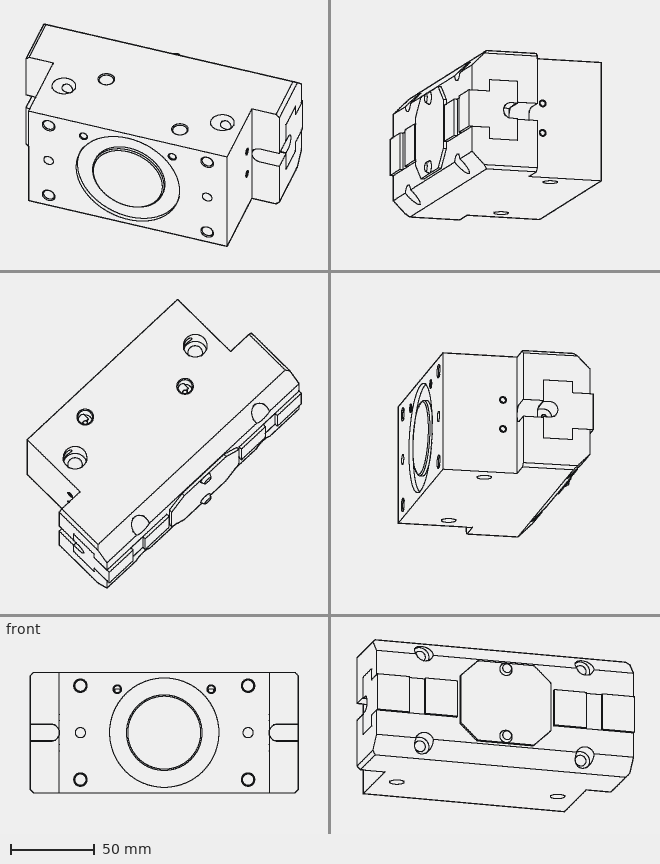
import cadquery as cq
import math

LENGTH = 160.0
HEIGHT = 72.0
FOOT_LENGTH = 125.3
SHOULDER_Y = 45.3
REAR_Y = 86.0
REAR_BEVEL = 9.8
END_BEVEL = 2.0

COVER_THICKNESS = 2.0
COVER_LENGTH = 56.0
COVER_HEIGHT = 49.6
COVER_CORNER_X = 10.5
COVER_CORNER_Z = 10.0
SCREW_HEAD_RADIUS = 3.8
SCREW_HEAD_HEIGHT = 2.2
SCREW_HEAD_TAPER = 1.1
SCREW_Z = 21.0

JAW_OUTER_Y = REAR_Y + COVER_THICKNESS
JAW_INNER_X = 30.0
NECK_HEIGHT = 22.0
FLANGE_HEIGHT = 35.8
FLANGE_FRONT_Y = 57.6
FLANGE_REAR_Y = 75.2
KEYWAY_WIDTH = 10.0
KEYWAY_X = 55.0
KEYWAY_DEPTH = COVER_THICKNESS

SLOT_END_X = FOOT_LENGTH / 2
SLOT_WIDTH = 10.4
JAW_SLOT_WIDTH = 9.5
SLOT_BOTTOM_CENTRE_Y = 61.6
JAW_PIN_RADIUS = 1.25
JAW_PIN_MOUTH_RADIUS = 1.5
JAW_PIN_DEPTH = 4.8

DRILL_POINT_ANGLE = 118.0
BOLT_SPACING_X = 100.0
BOLT_X = BOLT_SPACING_X / 2
BOLT_Z = 28.0
BOLT_RADIUS = 3.4
BOLT_MOUTH_RADIUS = 4.0
BOLT_HEAD_RADIUS = 5.6
BOLT_HEAD_SEAT_Y = 76.0
DOWEL_RADIUS = 3.0
DOWEL_DEPTH = 12.0
CROSS_BOLT_Y = 28.0
CROSS_BOLT_RADIUS = 4.3
CROSS_HEAD_RADIUS = 7.0
CROSS_HEAD_DEPTH = 14.4

RECESS_RADIUS = 32.6
RECESS_DEPTH = 2.5
BOSS_RADIUS = 22.5
BOSS_CHAMFER = 0.8

PORTS = [(-28.0, 42.0), (28.0, 14.0)]
PORT_RADIUS = 4.3
PORT_MOUTH_RADIUS = 5.0
PORT_BORE_Z = 26.0
PORT_BORE_RADIUS = 2.7
PORT_ENTRY_RADIUS = 2.0
PORT_ENTRY_MOUTH_RADIUS = 2.5
PORT_ENTRY_DEPTH = 8.0
PORT_FEED_RADIUS = 1.52
PORT_FEED_DEPTH = 3.2

SIDE_HOLE_Y = 36.6
SIDE_HOLE_Z = 9.0
SIDE_HOLE_RADIUS = 1.6
SIDE_HOLE_MOUTH_RADIUS = 2.0
SIDE_HOLE_DEPTH = 8.0


def box(x0, x1, y0, y1, z0, z1):
    """Box between opposite corners."""
    return cq.Workplane("XY").box(x1 - x0, y1 - y0, z1 - z0, centered=False).translate((x0, y0, z0))


def rod(start, direction, radius, length):
    """Plain cylinder from a start point along a unit direction."""
    return cq.Workplane(cq.Solid.makeCylinder(radius, length, cq.Vector(*start), cq.Vector(*direction)))


def cone(start, direction, start_radius, end_radius, length):
    """Cone or cone frustum from a start point along a unit direction."""
    return cq.Workplane(
        cq.Solid.makeCone(start_radius, end_radius, length, cq.Vector(*start), cq.Vector(*direction))
    )


def mouth(start, direction, mouth_radius, radius):
    """45 degree countersink at the mouth of a hole."""
    return cone(start, direction, mouth_radius, radius, mouth_radius - radius)


def blind_hole(start, direction, radius, depth):
    """Drilled hole of the given full-diameter depth with a pointed bottom."""
    bottom = cq.Vector(*start) + cq.Vector(*direction) * depth
    point_depth = radius / math.tan(math.radians(DRILL_POINT_ANGLE / 2))
    return rod(start, direction, radius, depth).union(
        cone(bottom.toTuple(), direction, radius, 0, point_depth)
    )


def housing_block():
    """Narrow front block and wide rear block, with bevelled edges."""
    foot = box(-FOOT_LENGTH / 2, FOOT_LENGTH / 2, 0, REAR_Y, -HEIGHT / 2, HEIGHT / 2)
    head = box(-LENGTH / 2, LENGTH / 2, SHOULDER_Y, REAR_Y, -HEIGHT / 2, HEIGHT / 2)
    head = head.edges("|Y").chamfer(END_BEVEL)
    block = foot.union(head)
    profile = (
        cq.Workplane("YZ")
        .rect(2 * REAR_Y, HEIGHT)
        .extrude(LENGTH / 2, both=True)
        .edges("|X and >Y")
        .chamfer(REAR_BEVEL)
    )
    return block.intersect(profile)


def cover_with_screws():
    """Eight-sided cover plate with two tapered screw heads."""
    x, z = COVER_LENGTH / 2, COVER_HEIGHT / 2
    x_in, z_in = x - COVER_CORNER_X, z - COVER_CORNER_Z
    upper = [(x, z_in), (x_in, z), (-x_in, z), (-x, z_in)]
    lower = [(-px, -pz) for px, pz in upper]
    outline = upper + lower
    cover = cq.Workplane("XZ", origin=(0, REAR_Y, 0)).polyline(outline).close().extrude(-COVER_THICKNESS)
    top_radius = SCREW_HEAD_RADIUS - SCREW_HEAD_TAPER
    for side in (-1, 1):
        base = (0, JAW_OUTER_Y, side * SCREW_Z)
        cover = cover.union(cone(base, (0, 1, 0), SCREW_HEAD_RADIUS, top_radius, SCREW_HEAD_HEIGHT))
    return cover


def jaw_bar(side):
    """T-shaped bar that fills the guide on one side (-1 or 1) of the centre."""
    x0, x1 = sorted((side * JAW_INNER_X, side * LENGTH / 2))
    neck = box(x0, x1, FLANGE_FRONT_Y, JAW_OUTER_Y, -NECK_HEIGHT / 2, NECK_HEIGHT / 2)
    flange = box(x0, x1, FLANGE_FRONT_Y, FLANGE_REAR_Y, -FLANGE_HEIGHT / 2, FLANGE_HEIGHT / 2)
    return neck.union(flange)


def housing_slot(side):
    """Slot from the shoulder to the jaw, open at the end and round at its inner end."""
    radius = SLOT_WIDTH / 2
    centre_x = side * (SLOT_END_X + radius)
    depth = FLANGE_FRONT_Y - SHOULDER_Y
    x0, x1 = sorted((centre_x, side * LENGTH / 2))
    straight = box(x0, x1, SHOULDER_Y, FLANGE_FRONT_Y, -radius, radius)
    return straight.union(rod((centre_x, SHOULDER_Y, 0), (0, 1, 0), radius, depth))


def jaw_slot(side):
    """Round-bottomed channel in the jaw, with a small blind hole in its end wall."""
    radius = JAW_SLOT_WIDTH / 2
    x0, x1 = sorted((side * SLOT_END_X, side * LENGTH / 2))
    straight = box(x0, x1, FLANGE_FRONT_Y, SLOT_BOTTOM_CENTRE_Y, -radius, radius)
    bottom = rod((x0, SLOT_BOTTOM_CENTRE_Y, 0), (1, 0, 0), radius, x1 - x0)
    end_wall = (side * SLOT_END_X, SLOT_BOTTOM_CENTRE_Y, 0)
    inward = (-side, 0, 0)
    pin_hole = blind_hole(end_wall, inward, JAW_PIN_RADIUS, JAW_PIN_DEPTH)
    pin_hole = pin_hole.union(mouth(end_wall, inward, JAW_PIN_MOUTH_RADIUS, JAW_PIN_RADIUS))
    return straight.union(bottom).union(pin_hole)


def mounting_holes(side):
    """Front bolts, front dowel hole and cross bolt on one side of the centre."""
    x = side * BOLT_X
    tools = blind_hole((x, 0, 0), (0, 1, 0), DOWEL_RADIUS, DOWEL_DEPTH)
    for z in (-BOLT_Z, BOLT_Z):
        tools = tools.union(rod((x, 0, z), (0, 1, 0), BOLT_RADIUS, REAR_Y))
        tools = tools.union(mouth((x, 0, z), (0, 1, 0), BOLT_MOUTH_RADIUS, BOLT_RADIUS))
        tools = tools.union(
            rod((x, BOLT_HEAD_SEAT_Y, z), (0, 1, 0), BOLT_HEAD_RADIUS, REAR_Y - BOLT_HEAD_SEAT_Y)
        )
    top = (x, CROSS_BOLT_Y, HEIGHT / 2)
    tools = tools.union(rod(top, (0, 0, -1), CROSS_BOLT_RADIUS, HEIGHT))
    return tools.union(rod(top, (0, 0, -1), CROSS_HEAD_RADIUS, CROSS_HEAD_DEPTH))


def boss_recess():
    """Ring-shaped recess that leaves a chamfered round boss level with the front face."""
    recess = rod((0, 0, 0), (0, 1, 0), RECESS_RADIUS, RECESS_DEPTH)
    boss = rod((0, 0, 0), (0, 1, 0), BOSS_RADIUS, RECESS_DEPTH).faces("<Y").chamfer(BOSS_CHAMFER)
    return recess.cut(boss)


def air_port(x, y):
    """Top port, the front bore that ends below it, and the feed hole on the port axis."""
    top = (x, y, HEIGHT / 2)
    port = rod(top, (0, 0, -1), PORT_RADIUS, HEIGHT / 2 - PORT_BORE_Z)
    port = port.union(mouth(top, (0, 0, -1), PORT_MOUTH_RADIUS, PORT_RADIUS))
    front = (x, 0, PORT_BORE_Z)
    entry = rod(front, (0, 1, 0), PORT_ENTRY_RADIUS, PORT_ENTRY_DEPTH)
    entry = entry.union(mouth(front, (0, 1, 0), PORT_ENTRY_MOUTH_RADIUS, PORT_ENTRY_RADIUS))
    bore = rod((x, PORT_ENTRY_DEPTH, PORT_BORE_Z), (0, 1, 0), PORT_BORE_RADIUS, y - PORT_ENTRY_DEPTH)
    feed = blind_hole((x, y, PORT_BORE_Z), (0, 0, -1), PORT_FEED_RADIUS, PORT_FEED_DEPTH)
    return port.union(entry).union(bore).union(feed)


def side_hole(side, z):
    """Countersunk blind hole in one end of the front block."""
    start = (side * FOOT_LENGTH / 2, SIDE_HOLE_Y, z)
    inward = (-side, 0, 0)
    hole = blind_hole(start, inward, SIDE_HOLE_RADIUS, SIDE_HOLE_DEPTH)
    return hole.union(mouth(start, inward, SIDE_HOLE_MOUTH_RADIUS, SIDE_HOLE_RADIUS))


def make_housing():
    """Housing with all its recesses and holes, closed by the cover plate."""
    housing = housing_block().cut(boss_recess())
    for x, y in PORTS:
        housing = housing.cut(air_port(x, y))
    for side in (-1, 1):
        housing = housing.cut(jaw_bar(side)).cut(housing_slot(side)).cut(mounting_holes(side))
        for z in (-SIDE_HOLE_Z, SIDE_HOLE_Z):
            housing = housing.cut(side_hole(side, z))
    return housing.union(cover_with_screws())


def make_jaw(side):
    """One jaw with a keyway across its outer face and a relief slot at its end."""
    half_width = KEYWAY_WIDTH / 2
    keyway = box(
        side * KEYWAY_X - half_width,
        side * KEYWAY_X + half_width,
        JAW_OUTER_Y - KEYWAY_DEPTH,
        JAW_OUTER_Y,
        -NECK_HEIGHT / 2,
        NECK_HEIGHT / 2,
    )
    return jaw_bar(side).cut(keyway).cut(jaw_slot(side))


housing = make_housing()
jaws = [make_jaw(side) for side in (-1, 1)]

result = cq.Compound.makeCompound([housing.val(), *[jaw.val() for jaw in jaws]])